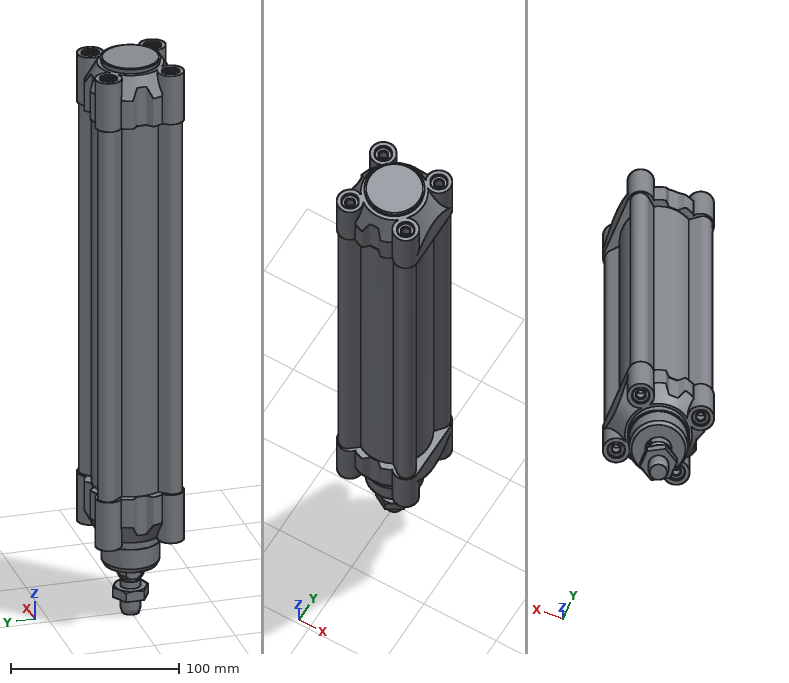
import cadquery as cq
import math

TOTAL_LENGTH = 363.0
CAP_LENGTH = 31.5
REAR_CAP_FACE_Z = 359.7
FRONT_CAP_FACE_Z = 54.0
BARREL_TOP_Z = REAR_CAP_FACE_Z - CAP_LENGTH
BARREL_BOTTOM_Z = FRONT_CAP_FACE_Z + CAP_LENGTH

SCREW_PITCH = 38.5
SCREW_OFFSET = SCREW_PITCH / 2
COLUMN_RADIUS = 8.0
RIB_RADIUS = 27.5
RIB_HALF_SPAN = 12.7
SLOT_FLOOR = 23.5
SLOT_FLOOR_HALF_WIDTH = 3.0
SLOT_WALL_SLOPE = 0.95
RIB_FILLET = 0.7
FACE_RADIUS = 20.0
FLANK_ANGLE = 30.0

RECESS_STEPS = [(10.5, 1.0), (9.8, 1.8), (6.0, 2.5), (5.0, 9.0)]
DRILL_TIP_ANGLE = 120.0

TUBE_RADIUS = 23.2
LOBE_PITCH = 40.3
LOBE_OFFSET = LOBE_PITCH / 2
LOBE_RADIUS = 5.8
FLUTE_INNER_X = 11.3
FLUTE_OUTER_X = 17.0

BOSS_DIAMETER = 35.0
COLLAR_DIAMETER = 36.5
COLLAR_BOTTOM_Z = 48.5
NOSE_CHAMFER_Z = 35.5
NOSE_BOTTOM_Z = 32.5
NOSE_CHAMFER = 1.5
RIM_DIAMETER = 36.0
RIM_BEVEL_WIDTH = 1.0
RIM_BEVEL_HEIGHT = 0.5

ROD_DIAMETER = 16.0
THREAD_DIAMETER = 12.0
NECK_DIAMETER = 10.5
THREAD_TIP_DIAMETER = 10.0
FLATS_WIDTH = 13.0
FLATS_TOP_Z = 29.8
SHOULDER_CHAMFER_Z = 26.0
SHOULDER_CHAMFER = 1.0
SHOULDER_Z = 24.0
THREAD_TOP_Z = 21.8
THREAD_CHAMFER_Z = 3.3

NUT_WIDTH = 19.2
NUT_BOTTOM_Z = 11.0
NUT_HEIGHT = 6.5
NUT_CHAMFER_ANGLE = 30.0


def cylinder(diameter, bottom, top):
    return cq.Workplane("XY").workplane(offset=bottom).circle(diameter / 2).extrude(top - bottom)


def revolved(profile):
    """Solid of revolution about Z from (radius, z) points."""
    return cq.Workplane("XZ").polyline(profile).close().revolve(360, (0, 0, 0), (0, 1, 0))


def corner_points(offset):
    return [(sx * offset, sy * offset) for sx in (-1, 1) for sy in (-1, 1)]


def arms(length):
    """Cross of ribbed arms, rounded to the rib radius, with an open slot in each arm."""
    arm_size = 2 * RIB_RADIUS
    cross = cq.Workplane("XY").rect(arm_size, 2 * RIB_HALF_SPAN).extrude(length)
    cross = cross.union(cq.Workplane("XY").rect(2 * RIB_HALF_SPAN, arm_size).extrude(length))
    cross = cross.intersect(cylinder(arm_size, 0, length))
    slot_top = RIB_RADIUS
    slot_top_half_width = SLOT_FLOOR_HALF_WIDTH + (slot_top - SLOT_FLOOR) / SLOT_WALL_SLOPE
    slot = (
        cq.Workplane("XY")
        .polyline([
            (-slot_top_half_width, slot_top),
            (-SLOT_FLOOR_HALF_WIDTH, SLOT_FLOOR),
            (SLOT_FLOOR_HALF_WIDTH, SLOT_FLOOR),
            (slot_top_half_width, slot_top),
        ])
        .close()
        .extrude(length)
    )
    for angle in (0, 90, 180, 270):
        cross = cross.cut(slot.rotate((0, 0, 0), (0, 0, 1), angle))
    return cross.edges("|Z").fillet(RIB_FILLET)


def screw_recess():
    """Stepped recess with a drill-point bottom, cut downwards from Z = CAP_LENGTH."""
    profile = [(0, CAP_LENGTH)]
    depth = 0
    for diameter, next_depth in RECESS_STEPS:
        profile.append((diameter / 2, CAP_LENGTH - depth))
        profile.append((diameter / 2, CAP_LENGTH - next_depth))
        depth = next_depth
    tip_depth = RECESS_STEPS[-1][0] / 2 / math.tan(math.radians(DRILL_TIP_ANGLE / 2))
    profile.append((0, CAP_LENGTH - depth - tip_depth))
    return revolved(profile)


def cap_block():
    """End cap standing on Z = 0 with its outer end face at Z = CAP_LENGTH."""
    core = cq.Workplane("XY").rect(2 * SCREW_OFFSET, 2 * SCREW_OFFSET).extrude(CAP_LENGTH)
    side_reach = SCREW_OFFSET + COLUMN_RADIUS
    plain_side = cq.Workplane("XY").rect(side_reach, 2 * SCREW_OFFSET).extrude(CAP_LENGTH)
    core = core.union(arms(CAP_LENGTH)).union(plain_side.translate((side_reach / 2, 0, 0)))

    flank_base_radius = FACE_RADIUS + CAP_LENGTH * math.tan(math.radians(FLANK_ANGLE))
    flank = revolved([(0, 0), (flank_base_radius, 0), (FACE_RADIUS, CAP_LENGTH), (0, CAP_LENGTH)])
    core = core.intersect(flank)

    corners = corner_points(SCREW_OFFSET)
    columns = cq.Workplane("XY").pushPoints(corners).circle(COLUMN_RADIUS).extrude(CAP_LENGTH)
    block = core.union(columns)
    recess = screw_recess()
    for x, y in corners:
        block = block.cut(recess.translate((x, y, 0)))
    return block


def make_rear_cap():
    boss_radius = BOSS_DIAMETER / 2
    rim_radius = RIM_DIAMETER / 2
    boss = revolved([
        (0, BARREL_TOP_Z),
        (boss_radius, BARREL_TOP_Z),
        (boss_radius, REAR_CAP_FACE_Z),
        (rim_radius, TOTAL_LENGTH - RIM_BEVEL_HEIGHT),
        (rim_radius - RIM_BEVEL_WIDTH, TOTAL_LENGTH),
        (0, TOTAL_LENGTH),
    ])
    return cap_block().translate((0, 0, BARREL_TOP_Z)).union(boss)


def make_front_cap():
    block = cap_block().mirror("XY").translate((0, 0, BARREL_BOTTOM_Z))
    nose_radius = BOSS_DIAMETER / 2
    nose = revolved([
        (0, NOSE_BOTTOM_Z),
        (nose_radius - NOSE_CHAMFER, NOSE_BOTTOM_Z),
        (nose_radius, NOSE_CHAMFER_Z),
        (nose_radius, COLLAR_BOTTOM_Z),
        (COLLAR_DIAMETER / 2, COLLAR_BOTTOM_Z),
        (COLLAR_DIAMETER / 2, BARREL_BOTTOM_Z),
        (0, BARREL_BOTTOM_Z),
    ])
    rod_bore = cylinder(ROD_DIAMETER, NOSE_BOTTOM_Z, BARREL_BOTTOM_Z)
    return block.union(nose).cut(rod_bore)


def make_barrel():
    """Round tube with four corner lobes, joined by straight flute walls."""
    length = BARREL_TOP_Z - BARREL_BOTTOM_Z
    flute_inner_y = math.sqrt(TUBE_RADIUS**2 - FLUTE_INNER_X**2)
    flute_outer_y = LOBE_OFFSET + math.sqrt(LOBE_RADIUS**2 - (LOBE_OFFSET - FLUTE_OUTER_X) ** 2)
    lobe_tip = LOBE_OFFSET + LOBE_RADIUS / math.sqrt(2)
    quarter = (
        cq.Workplane("XY")
        .moveTo(0, 0)
        .lineTo(0, TUBE_RADIUS)
        .radiusArc((FLUTE_INNER_X, flute_inner_y), TUBE_RADIUS)
        .lineTo(FLUTE_OUTER_X, flute_outer_y)
        .threePointArc((lobe_tip, lobe_tip), (flute_outer_y, FLUTE_OUTER_X))
        .lineTo(flute_inner_y, FLUTE_INNER_X)
        .radiusArc((TUBE_RADIUS, 0), TUBE_RADIUS)
        .close()
        .extrude(length)
    )
    barrel = quarter
    for angle in (90, 180, 270):
        barrel = barrel.union(quarter.rotate((0, 0, 0), (0, 0, 1), angle))
    return barrel.clean().translate((0, 0, BARREL_BOTTOM_Z))


def make_rod():
    rod_radius = ROD_DIAMETER / 2
    thread_radius = THREAD_DIAMETER / 2
    neck_radius = NECK_DIAMETER / 2
    rod = revolved([
        (0, 0),
        (THREAD_TIP_DIAMETER / 2, 0),
        (thread_radius, THREAD_CHAMFER_Z),
        (thread_radius, THREAD_TOP_Z),
        (neck_radius, THREAD_TOP_Z),
        (neck_radius, SHOULDER_Z),
        (rod_radius - SHOULDER_CHAMFER, SHOULDER_Z),
        (rod_radius, SHOULDER_CHAMFER_Z),
        (rod_radius, BARREL_BOTTOM_Z),
        (0, BARREL_BOTTOM_Z),
    ])
    flats_height = FLATS_TOP_Z - SHOULDER_Z
    for side in (-1, 1):
        waste = cq.Workplane("XY").box(rod_radius, ROD_DIAMETER, flats_height, centered=(True, True, False))
        rod = rod.cut(waste.translate((side * (FLATS_WIDTH + rod_radius) / 2, 0, SHOULDER_Z)))
    return rod


def make_nut():
    """Hexagon nut with corners on the Y axis and the upper end chamfered."""
    corner_radius = NUT_WIDTH / math.sqrt(3)
    flat_radius = NUT_WIDTH / 2
    chamfer = (corner_radius - flat_radius) * math.tan(math.radians(NUT_CHAMFER_ANGLE))
    hexagon = cq.Workplane("XY").polygon(6, 2 * corner_radius).extrude(NUT_HEIGHT)
    hexagon = hexagon.rotate((0, 0, 0), (0, 0, 1), 90)
    envelope = revolved([
        (0, 0),
        (corner_radius, 0),
        (corner_radius, NUT_HEIGHT - chamfer),
        (flat_radius, NUT_HEIGHT),
        (0, NUT_HEIGHT),
    ])
    nut = hexagon.intersect(envelope).cut(cylinder(THREAD_DIAMETER, 0, NUT_HEIGHT))
    return nut.translate((0, 0, NUT_BOTTOM_Z))


rear_cap = make_rear_cap()
barrel = make_barrel()
front_cap = make_front_cap()
rod = make_rod()
nut = make_nut()

result = cq.Compound.makeCompound([
    rear_cap.val(),
    barrel.val(),
    front_cap.val(),
    rod.val(),
    nut.val(),
])